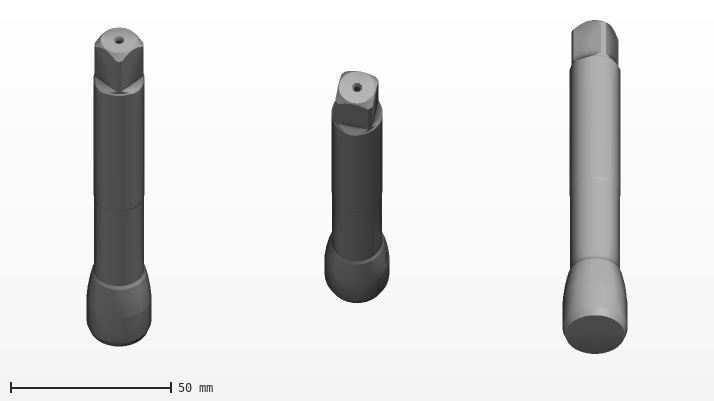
import cadquery as cq
import math

length = 125.0

lower_radius = 15.8 / 2
upper_radius = 16.0 / 2
step_z = 57.5
step_height = 0.8
shoulder_z = 108.4
shoulder_height = 0.5

square_width = 11.9
corner_radius = 7.6
flat_bottom_z = 110.0
tip_radius = 5.6
tip_chamfer = 2.0

centre_hole_radius = 2.0 / 2
centre_mouth_radius = 1.6
countersink_depth = 1.1
centre_hole_depth = 3.8
drill_point_half_angle = 60.0

collar_radius = 20.2 / 2
collar_foot_radius = 9.2
collar_band_bottom_z = 2.5
collar_band_top_z = 13.1
collar_neck_z = 24.0
collar_neck_radius = 8.5
collar_bulge = 0.2
collar_top_z = 25.1


def arc_midpoint():
    """Middle of the slightly bulged taper from the collar band to its neck."""
    radius = (collar_radius + collar_neck_radius) / 2 + collar_bulge
    return radius, (collar_band_top_z + collar_neck_z) / 2


def make_blank():
    """Round bar turned to all its diameters, before the flats are cut."""
    profile = (
        cq.Workplane("XZ")
        .lineTo(lower_radius, 0)
        .lineTo(lower_radius, step_z)
        .lineTo(upper_radius, step_z + step_height)
        .lineTo(upper_radius, shoulder_z)
        .lineTo(corner_radius, shoulder_z + shoulder_height)
        .lineTo(corner_radius, length - tip_chamfer)
        .lineTo(tip_radius, length)
        .lineTo(0, length)
        .close()
    )
    return profile.revolve(360, (0, 0, 0), (0, 1, 0))


def make_flat_cutter():
    """Cutter for the +X flat, with a floor that slopes down outwards at 45 degrees."""
    half_width = square_width / 2
    reach = collar_radius - half_width
    return (
        cq.Workplane("XZ")
        .moveTo(half_width, length)
        .lineTo(half_width, flat_bottom_z)
        .lineTo(half_width + reach, flat_bottom_z - reach)
        .lineTo(half_width + reach, length)
        .close()
        .extrude(collar_radius, both=True)
    )


def make_centre_hole():
    """Countersunk centre hole with a drill point."""
    point_depth = centre_hole_radius / math.tan(math.radians(drill_point_half_angle))
    hole_floor_z = length - centre_hole_depth
    return (
        cq.Workplane("XZ")
        .moveTo(0, length)
        .lineTo(centre_mouth_radius, length)
        .lineTo(centre_hole_radius, length - countersink_depth)
        .lineTo(centre_hole_radius, hole_floor_z)
        .lineTo(0, hole_floor_z - point_depth)
        .close()
        .revolve(360, (0, 0, 0), (0, 1, 0))
    )


def make_shank():
    shank = make_blank()
    for side in range(4):
        shank = shank.cut(make_flat_cutter().rotate((0, 0, 0), (0, 0, 1), 90 * side))
    return shank.cut(make_centre_hole())


def make_collar():
    """Barrel-shaped ring whose bore fits the lower shank."""
    profile = (
        cq.Workplane("XZ")
        .moveTo(lower_radius, 0)
        .lineTo(collar_foot_radius, 0)
        .lineTo(collar_radius, collar_band_bottom_z)
        .lineTo(collar_radius, collar_band_top_z)
        .threePointArc(arc_midpoint(), (collar_neck_radius, collar_neck_z))
        .lineTo(lower_radius, collar_top_z)
        .close()
    )
    return profile.revolve(360, (0, 0, 0), (0, 1, 0))


shank = make_shank()
collar = make_collar()

result = cq.Compound.makeCompound([shank.val(), collar.val()])